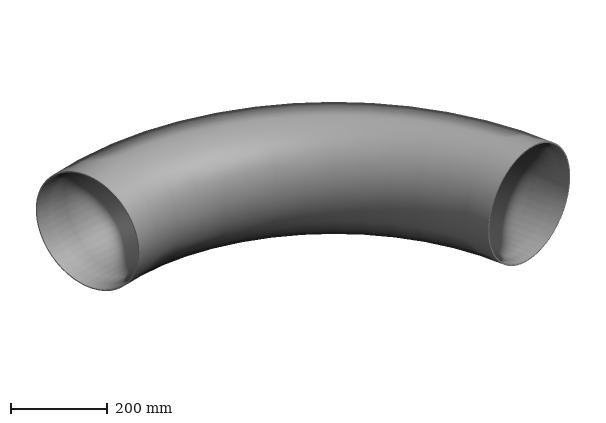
import cadquery as cq

outer_diameter = 273.0
wall_thickness = 3.0
bend_radius = 650.0
bend_angle = 90.0

outer_radius = outer_diameter / 2
inner_radius = outer_radius - wall_thickness


def pipe_bend():
    """Revolve the pipe's ring section from the -X end round to the +Y end."""
    section = (
        cq.Workplane("XZ")
        .center(-bend_radius, 0)
        .circle(outer_radius)
        .circle(inner_radius)
    )
    return section.revolve(bend_angle, (bend_radius, 0), (bend_radius, -1))


result = pipe_bend()